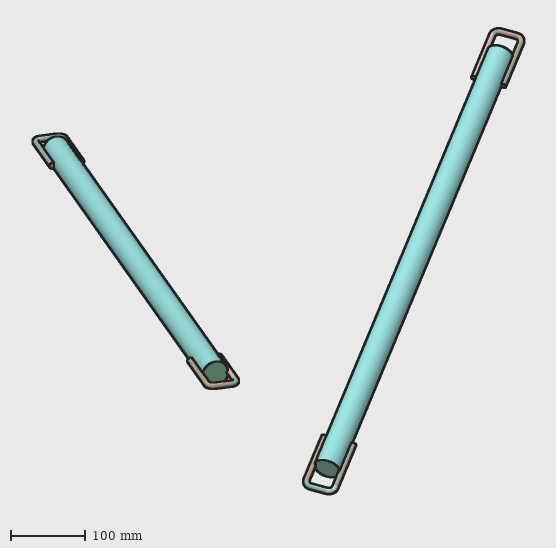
import cadquery as cq

overall_length = 812.0
overall_width = 49.5
bar_diameter = 36.5
bar_length = 732.5
wire_diameter = 9.0
handle_length = 89.0
bend_radius = 9.0

leg_y = (overall_width - wire_diameter) / 2
end_x = (overall_length - wire_diameter) / 2
tip_x = overall_length / 2 - handle_length
bend_x = end_x - bend_radius
bend_y = leg_y - bend_radius


def make_handle():
    """U-shaped round wire at the +X end, its legs running along the bar sides."""
    path = (
        cq.Workplane("XY")
        .moveTo(tip_x, -leg_y)
        .lineTo(bend_x, -leg_y)
        .radiusArc((end_x, -bend_y), -bend_radius)
        .lineTo(end_x, bend_y)
        .radiusArc((bend_x, leg_y), -bend_radius)
        .lineTo(tip_x, leg_y)
    )
    wire_section = cq.Workplane("YZ", origin=(tip_x, -leg_y, 0)).circle(wire_diameter / 2)
    return wire_section.sweep(path)


bar = cq.Workplane("YZ").circle(bar_diameter / 2).extrude(bar_length / 2, both=True)

handle = make_handle()
result = bar.union(handle).union(handle.mirror("YZ"))